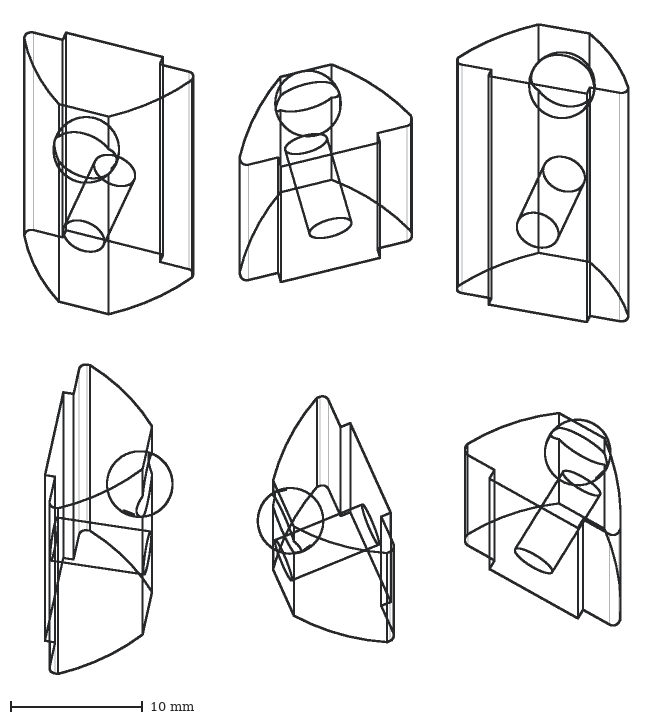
import cadquery as cq
import math

length = 22.0
width = 13.46
depth = 7.2
tongue_width = 7.79
tongue_height = 0.8
corner_radius = 0.5
side_end_depth = 1.55
front_flat_width = 4.0
flank_radius = 16.5

hole_diameter = 3.3
hole_height = 8.0

ball_diameter = 5.0
total_depth = 9.1
ball_height = 17.0
ball_center = (0, ball_diameter / 2 - total_depth, ball_height)


def flank_midpoint(start, end):
    """Middle point of the outward-bulging flank arc on the +X side."""
    dx = end[0] - start[0]
    dy = end[1] - start[1]
    chord = math.hypot(dx, dy)
    bulge = flank_radius - math.sqrt(flank_radius**2 - (chord / 2) ** 2)
    mid_x = (start[0] + end[0]) / 2 - bulge * dy / chord
    mid_y = (start[1] + end[1]) / 2 + bulge * dx / chord
    return mid_x, mid_y


def make_ball():
    return cq.Workplane("XY").sphere(ball_diameter / 2).translate(ball_center)


def make_nut():
    flank_start = (width / 2, -side_end_depth)
    flank_end = (front_flat_width / 2, -depth)
    mid_x, mid_y = flank_midpoint(flank_start, flank_end)

    nut = (
        cq.Workplane("XY")
        .moveTo(-width / 2, -tongue_height)
        .lineTo(width / 2, -tongue_height)
        .lineTo(*flank_start)
        .threePointArc((mid_x, mid_y), flank_end)
        .lineTo(-flank_end[0], flank_end[1])
        .threePointArc((-mid_x, mid_y), (-flank_start[0], flank_start[1]))
        .close()
        .extrude(length)
        .edges("|Z and >Y")
        .fillet(corner_radius)
    )

    tongue = (
        cq.Workplane("XY")
        .box(tongue_width, tongue_height, length, centered=(True, False, False))
        .translate((0, -tongue_height, 0))
    )
    nut = nut.union(tongue)

    hole = (
        cq.Workplane("XZ")
        .center(0, hole_height)
        .circle(hole_diameter / 2)
        .extrude(depth)
    )
    return nut.cut(hole).cut(make_ball())


nut = make_nut()
ball = make_ball()

result = cq.Compound.makeCompound([nut.val(), ball.val()])